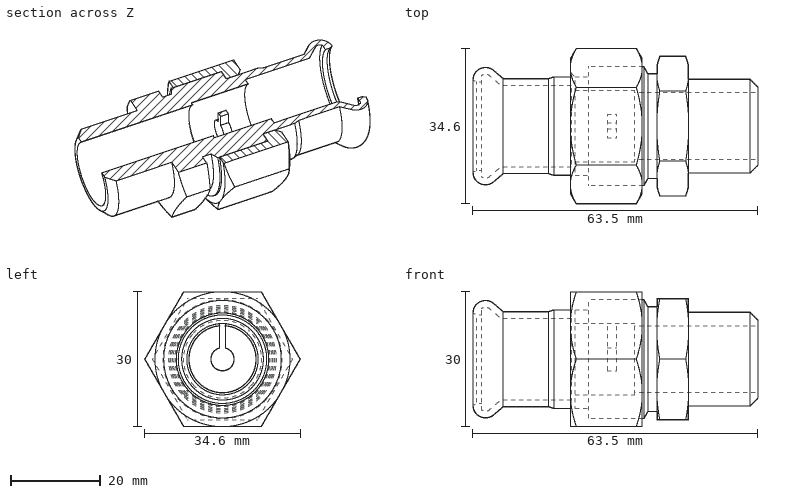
import cadquery as cq
import math


bead_outer_radius = 13.1
bead_roll_radius = 2.8
bead_centre_radius = bead_outer_radius - bead_roll_radius
tube_radius = 10.6
tube_start = 6.75
tube_end = 16.8
shoulder_start = 18.0
shoulder_radius = 11.0

nut_start = 21.7
nut_length = 16.0
nut_end = nut_start + nut_length
nut_across_flats = 30.0
nut_wall_length = 4.0
nut_countersink = 1.0
nut_face_radius = 15.05
nut_chamfer_angle = 30.0

collar_radius = 13.25
collar_overhang = 0.4
collar_end = nut_end + collar_overhang
neck_radius = 11.7
neck_taper_length = 0.85
neck_start = collar_end + neck_taper_length

hex_start = 41.0
hex_length = 7.0
hex_across_flats = 27.0
hex_face_radius = 13.7
hex_chamfer_angle = 18.0
pipe_radius = 10.48
pipe_chamfer = 1.8
overall_length = 63.5

sheet_wall = 1.5
groove_roll_radius = bead_roll_radius - sheet_wall
mouth_radius = 9.86
mouth_start = 0.8
mouth_end = 1.95
socket_radius = tube_radius - sheet_wall
socket_fillet_radius = 1.84
socket_end = 22.0
bore_radius = 7.95
outlet_start = 36.0
outlet_radius = 7.45

target_radius = 2.6
spoke_width = 1.35
target_start = 30.0
target_thickness = 2.0


def revolve_about_x(profile):
    """Turn a closed profile of (x, radius) into a solid around the X axis."""
    return profile.close().revolve(360, (0, 0, 0), (1, 0, 0))


def cylinder(start, end, radius):
    return cq.Workplane("YZ").workplane(offset=start).circle(radius).extrude(end - start)


def chamfered_hexagon(start, length, across_flats, face_radius, chamfer_angle):
    """Hexagonal prism along X, flats facing +Z and -Z, corners turned off at both ends."""
    corner_radius = across_flats / 2 / math.cos(math.radians(30))
    end = start + length
    prism = cq.Workplane("YZ").workplane(offset=start).polygon(6, 2 * corner_radius).extrude(length)
    corner_depth = (corner_radius - face_radius) * math.tan(math.radians(chamfer_angle))
    envelope = revolve_about_x(
        cq.Workplane("XY")
        .moveTo(start, 0)
        .lineTo(start, face_radius)
        .lineTo(start + corner_depth, corner_radius)
        .lineTo(end - corner_depth, corner_radius)
        .lineTo(end, face_radius)
        .lineTo(end, 0)
    )
    return prism.intersect(envelope)


def bead_cone_angle():
    """Angle, from +X towards the rim, at which the cone behind the bead is tangent to it."""
    run = tube_start - bead_roll_radius
    rise = tube_radius - bead_centre_radius
    return math.atan2(rise, run) + math.acos(bead_roll_radius / math.hypot(run, rise))


def bead_point(section_radius, angle):
    """Point (x, radius) on a circle about the centre of the bead's round section."""
    x = bead_roll_radius + section_radius * math.cos(angle)
    radius = bead_centre_radius + section_radius * math.sin(angle)
    return (x, radius)


def make_outer_skin():
    bead_top = bead_point(bead_roll_radius, math.pi / 2)
    cone_start = bead_point(bead_roll_radius, bead_cone_angle())
    return revolve_about_x(
        cq.Workplane("XY")
        .lineTo(0, bead_centre_radius)
        .threePointArc(bead_top, cone_start)
        .lineTo(tube_start, tube_radius)
        .lineTo(tube_end, tube_radius)
        .lineTo(shoulder_start, shoulder_radius)
        .lineTo(nut_start + nut_wall_length, shoulder_radius)
        .lineTo(nut_start + nut_wall_length, collar_radius)
        .lineTo(collar_end, collar_radius)
        .lineTo(neck_start, neck_radius)
        .lineTo(hex_start, neck_radius)
        .lineTo(hex_start, pipe_radius)
        .lineTo(overall_length - pipe_chamfer, pipe_radius)
        .lineTo(overall_length, pipe_radius - pipe_chamfer)
        .lineTo(overall_length, 0)
    )


def make_bore():
    cone_angle = bead_cone_angle()
    front_angle = math.acos((mouth_end - bead_roll_radius) / groove_roll_radius)
    groove_front = bead_point(groove_roll_radius, front_angle)
    groove_top = bead_point(groove_roll_radius, math.pi / 2)
    cone_start = bead_point(groove_roll_radius, cone_angle)

    fillet_centre_radius = socket_radius + socket_fillet_radius
    centre_rise = fillet_centre_radius - bead_centre_radius
    centre_distance = groove_roll_radius + socket_fillet_radius
    centre_run = (centre_distance - centre_rise * math.sin(cone_angle)) / math.cos(cone_angle)
    fillet_centre_x = bead_roll_radius + centre_run

    def fillet_point(angle):
        x = fillet_centre_x - socket_fillet_radius * math.cos(angle)
        radius = fillet_centre_radius - socket_fillet_radius * math.sin(angle)
        return (x, radius)

    fillet_middle = fillet_point((cone_angle + math.pi / 2) / 2)
    fillet_end = fillet_point(math.pi / 2)

    return revolve_about_x(
        cq.Workplane("XY")
        .lineTo(0, bead_centre_radius)
        .lineTo(mouth_start, mouth_radius)
        .lineTo(mouth_end, mouth_radius)
        .lineTo(*groove_front)
        .threePointArc(groove_top, cone_start)
        .lineTo(*fillet_point(cone_angle))
        .threePointArc(fillet_middle, fillet_end)
        .lineTo(socket_end, socket_radius)
        .lineTo(socket_end, bore_radius)
        .lineTo(outlet_start, bore_radius)
        .lineTo(outlet_start, outlet_radius)
        .lineTo(overall_length, outlet_radius)
        .lineTo(overall_length, 0)
    )


def make_target():
    end = target_start + target_thickness
    disc = cylinder(target_start, end, target_radius)
    spoke_top = (bore_radius + shoulder_radius) / 2
    spoke = (
        cq.Workplane("XY")
        .box(target_thickness, spoke_width, spoke_top, centered=(False, True, False))
        .translate((target_start, 0, 0))
    )
    return disc.union(spoke)


def make_fitting():
    spanner_hex = chamfered_hexagon(hex_start, hex_length, hex_across_flats, hex_face_radius, hex_chamfer_angle)
    return make_outer_skin().union(spanner_hex).cut(make_bore()).union(make_target())


def make_nut():
    blank = chamfered_hexagon(nut_start, nut_length, nut_across_flats, nut_face_radius, nut_chamfer_angle)
    tube_hole = cylinder(nut_start, nut_end, shoulder_radius)
    collar_recess = cylinder(nut_start + nut_wall_length, nut_end, collar_radius)
    countersink = revolve_about_x(
        cq.Workplane("XY")
        .moveTo(nut_start, 0)
        .lineTo(nut_start, shoulder_radius + nut_countersink)
        .lineTo(nut_start + nut_countersink, shoulder_radius)
        .lineTo(nut_start + nut_countersink, 0)
    )
    return blank.cut(tube_hole).cut(countersink).cut(collar_recess)


fitting = make_fitting()
nut = make_nut()

result = cq.Compound.makeCompound([fitting.val(), nut.val()])